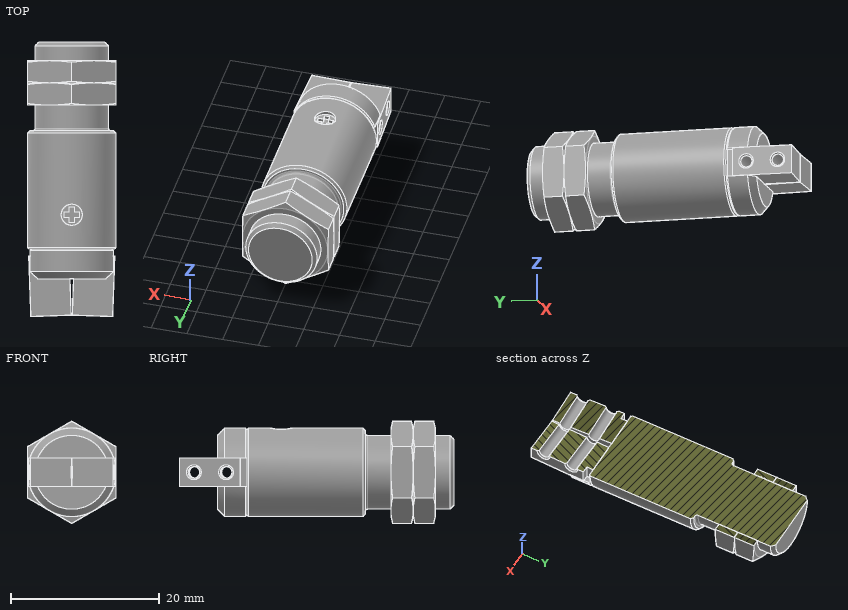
import cadquery as cq
import math


housing_length = 32.0
slot_floor = 4.0
shoulder = 20.0

body_diameter = 12.0
thread_diameter = 10.0
thread_end_diameter = 8.9
front_chamfer = 1.0
shoulder_chamfer = 0.35
vee_depth = 0.22
shoulder_fillet = 0.3

slot_height = 3.9

recess_y = 8.65
recess_diameter = 2.85
recess_depth = 0.52
cross_length = 2.1
cross_arm_width = 0.7
cross_depth = 0.52

nut_flats = 12.0
nut_thickness = 3.0
nut_count = 2
nut_rear_setback = 2.52
nut_face_diameter = 11.88
nut_corner_chamfer = 0.22

jaw_tip_gap = 0.1
jaw_tilt = 2.0
jaw_protrusion = 5.12
jaw_width = 5.5
jaw_length = 8.2
jaw_shoulder = 1.0
jaw_hole_diameter = 1.55
jaw_hole_mouth_diameter = 2.0
jaw_hole_setback = 1.95
jaw_hole_spacing = 4.35
jaw_hole_count = 2


def make_housing():
    """Turned housing with its jaw slot and screw recess."""
    body_radius = body_diameter / 2
    thread_radius = thread_diameter / 2
    thread_end_radius = thread_end_diameter / 2
    thread_end_chamfer = thread_radius - thread_end_radius
    profile = (
        cq.Workplane("XY")
        .lineTo(body_radius - front_chamfer, 0)
        .lineTo(body_radius, front_chamfer)
        .lineTo(body_radius, slot_floor - vee_depth)
        .lineTo(body_radius - vee_depth, slot_floor)
        .lineTo(body_radius, slot_floor + vee_depth)
        .lineTo(body_radius, shoulder - shoulder_chamfer)
        .lineTo(body_radius - shoulder_chamfer, shoulder)
        .lineTo(thread_radius + shoulder_fillet, shoulder)
        .radiusArc((thread_radius, shoulder + shoulder_fillet), shoulder_fillet)
        .lineTo(thread_radius, housing_length - thread_end_chamfer)
        .lineTo(thread_end_radius, housing_length)
        .lineTo(0, housing_length)
        .close()
    )
    turned = profile.revolve(360, (0, 0, 0), (0, 1, 0))
    slot = cq.Workplane("XY").box(body_diameter, 2 * slot_floor, slot_height)
    return turned.cut(slot).cut(make_screw_recess())


def make_screw_recess():
    """Round recess with a cross-shaped slot sunk into its floor."""
    top = body_diameter / 2
    recess_floor = top - recess_depth
    recess = (
        cq.Workplane("XY", origin=(0, recess_y, recess_floor))
        .circle(recess_diameter / 2)
        .extrude(recess_depth)
    )
    cross_plane = cq.Workplane("XY", origin=(0, recess_y, recess_floor - cross_depth))
    for length, width in ((cross_length, cross_arm_width), (cross_arm_width, cross_length)):
        recess = recess.union(cross_plane.rect(length, width).extrude(cross_depth))
    return recess


def make_nut(front_y):
    """Hexagonal nut with both faces coned at the corners."""
    corner_diameter = nut_flats / math.cos(math.pi / 6)
    nut_plane = cq.Workplane("XZ", origin=(0, front_y, 0))
    hexagon = (
        nut_plane.transformed(rotate=(0, 0, 90))
        .polygon(6, corner_diameter)
        .circle(thread_diameter / 2)
        .extrude(-nut_thickness)
    )
    face_radius = nut_face_diameter / 2
    corner_radius = corner_diameter / 2
    rear_y = front_y + nut_thickness
    cone_profile = [
        (0, front_y),
        (face_radius, front_y),
        (corner_radius, front_y + nut_corner_chamfer),
        (corner_radius, rear_y - nut_corner_chamfer),
        (face_radius, rear_y),
        (0, rear_y),
    ]
    coned_blank = cq.Workplane("XY").polyline(cone_profile).close().revolve(360, (0, 0, 0), (0, 1, 0))
    return hexagon.intersect(coned_blank)


def make_right_jaw():
    """Jaw on the +X side: block with two cross holes and a narrower arm to the slot floor."""
    arm_width = jaw_width - jaw_shoulder
    arm_overrun = 2 * slot_floor
    outline = [
        (0, 0),
        (jaw_width, 0),
        (jaw_width, jaw_length),
        (arm_width, jaw_length),
        (arm_width, jaw_length + arm_overrun),
        (0, jaw_length + arm_overrun),
    ]
    jaw = (
        cq.Workplane("XY", origin=(0, 0, -slot_height / 2))
        .polyline(outline)
        .close()
        .extrude(slot_height)
    )
    for index in range(jaw_hole_count):
        jaw = jaw.cut(make_jaw_hole(jaw_hole_setback + index * jaw_hole_spacing))

    front_inner_y = jaw_width * math.sin(math.radians(jaw_tilt)) - jaw_protrusion
    jaw = jaw.rotate((0, 0, 0), (0, 0, 1), -jaw_tilt).translate((jaw_tip_gap / 2, front_inner_y, 0))

    trim_length = jaw_protrusion + slot_floor
    room = cq.Workplane("XY", origin=(0, slot_floor - trim_length / 2, 0)).box(
        2 * body_diameter, trim_length, slot_height
    )
    return jaw.intersect(room)


def make_jaw_hole(along):
    """Cross hole through a jaw, countersunk on the jaw's outer side."""
    hole_radius = jaw_hole_diameter / 2
    mouth_radius = jaw_hole_mouth_diameter / 2
    profile = [
        (0, along),
        (0, along + hole_radius),
        (jaw_width - (mouth_radius - hole_radius), along + hole_radius),
        (jaw_width, along + mouth_radius),
        (jaw_width, along),
    ]
    return cq.Workplane("XY").polyline(profile).close().revolve(360, (0, along, 0), (1, along, 0))


housing = make_housing()

nut_stack_front = housing_length - nut_rear_setback - nut_count * nut_thickness
nuts = [make_nut(nut_stack_front + index * nut_thickness) for index in range(nut_count)]

right_jaw = make_right_jaw()
left_jaw = right_jaw.mirror("YZ")
jaws = [right_jaw, left_jaw]

result = cq.Compound.makeCompound([body.val() for body in [housing, *nuts, *jaws]])